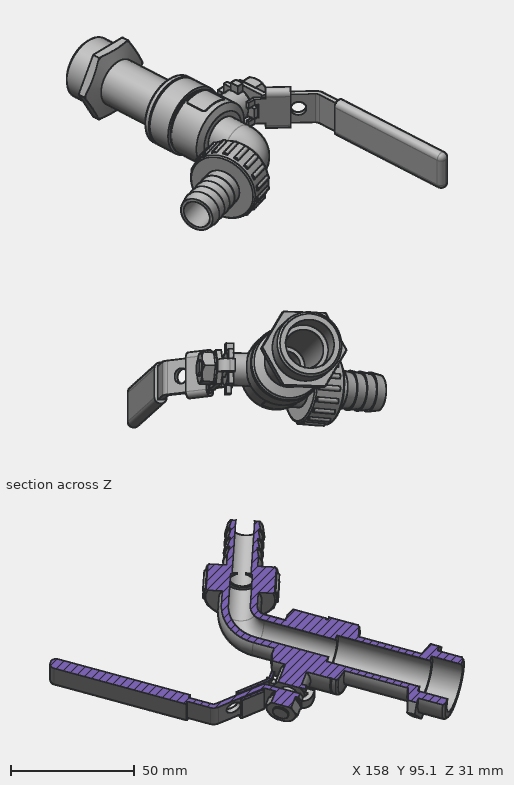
import cadquery as cq
import math


INLET_R = 13.3
INLET_CHAMFER = 1.0
HEX_START = 11.2
HEX_END = 14.5
HEX_ACROSS_FLATS = 30.0
HEX_CONE_R = 16.7
PIPE_R = 10.1
PIPE_START = 16.9
CAP_START = 43.8
CAP_RIM = 44.9
CAP_R = 15.0
CAP_CHAMFER = 0.8
CAP_END = 58.1
GROOVE_X = 47.5
GROOVE_WIDTH = 0.5
GROOVE_DEPTH = 0.24
JOINT_WIDTH = 0.8
JOINT_DEPTH = 0.5
HOUSING_R = 14.2
HOUSING_SHOULDER = 73.0
HOUSING_END = 74.4
HOUSING_END_R = 11.0

BADGE_HEIGHT = 0.3
BADGE_LENGTH = 10.3
BADGE_WIDTH = 12.5
BADGE_X = 65.1
BADGE_CORNER = 1.3

SPOUT_R = 8.7
ELBOW_START = 83.3
ELBOW_R = 11.4
ELBOW_ANGLE = 75.0

COUPLING_START = 6.5
COUPLING_END = 19.6
COUPLING_R = 14.7
COUPLING_BACK_CHAMFER = 0.6
COUPLING_FRONT_CHAMFER = 0.6
RIB_COUNT = 18
RIB_R = 1.1
RIB_TIP_R = 15.5
RIB_START = 7.9
RIB_END = 17.2
TAIL_END = 41.7
TAIL_R = 7.9
BARB_COUNT = 4
BARB_LENGTH = 4.5
BARB_RIDGE_R = 8.0
BARB_VALLEY_R = 7.3

INLET_BORE_R = 10.0
INLET_BORE_DEPTH = 12.6
PIPE_BORE_R = 8.0
PIPE_BORE_END = 52.1
FLOW_BORE_R = 6.3
LIP_BORE_R = 4.9
LIP_START = 15.2
LIP_END = 16.0
TAIL_BORE_R = 5.92

STEM_X = 62.9
NECK_R = 6.6
NECK_TOP = 22.6
STEM_R = 3.3
STEM_TOP = 33.8
WASHER_R = 6.3
STEM_NUT_CORNER_R = 7.0
STEM_NUT_BASE = 28.0
STEM_NUT_TOP = 33.0
STEM_NUT_CHAMFER = 0.8

STOP_TOP = 22.5
STOP_THICKNESS = 2.0
STOP_LEFT = 52.8
STOP_RIGHT = 73.0
STOP_ARM_WIDTH = 5.0
SHOULDER_START = 56.1
SHOULDER_REACH = 7.1
WING_START = 60.8
WING_END = 64.8
WING_REACH = 10.3
WING_DROP = 3.0

LEVER_THICKNESS = 2.2
LEVER_HALF_WIDTH = 7.0
LEVER_LOW_Y = 26.0
LEVER_HIGH_Y = 42.0
LEVER_START = 56.1
LEVER_FULL_WIDTH_X = 58.8
CRANK_X = 72.4
CRANK_INNER_RADIUS = 2.2
LEVER_HOLE_R = 3.2
LEVER_HOLE_DISTANCE = 14.4
TAB_OUTER_R = 4.5
GRIP_START = 99.4
GRIP_END = 158.0
GRIP_THICKNESS = 5.0
GRIP_WIDTH = 16.9
GRIP_END_FILLET = 2.4

SLIDE_START = 1.1
SLIDE_LENGTH = 10.1
SLIDE_THICKNESS = 5.0
SLIDE_WIDTH = 19.0
SLIDE_WALL = 1.3
FORK_X = 71.18
FORK_TIP_Y = 18.2
FORK_HALF_WIDTH = 6.0
FORK_SLOT_HALF_WIDTH = 3.2
FORK_SLOT_TOP = 23.0

elbow_turn = math.radians(ELBOW_ANGLE)
outlet_dir = cq.Vector(math.cos(elbow_turn), -math.sin(elbow_turn), 0)
elbow_end = cq.Vector(
    ELBOW_START + ELBOW_R * math.sin(elbow_turn), -ELBOW_R * (1 - math.cos(elbow_turn)), 0
)
outlet_plane = cq.Plane(origin=elbow_end, xDir=(0, 0, 1), normal=outlet_dir)

slope_plane = cq.Plane(
    origin=(CRANK_X, LEVER_LOW_Y, 0), xDir=(1, 1, 0), normal=(0, 0, 1)
)


def cylinder_x(radius, start, end):
    return cq.Workplane("YZ", origin=(start, 0, 0)).circle(radius).extrude(end - start)


def cylinder_y(radius, bottom, top):
    return cq.Workplane("XZ", origin=(STEM_X, bottom, 0)).circle(radius).extrude(bottom - top)


def cylinder_outlet(radius, start, end):
    return cq.Workplane(outlet_plane).workplane(offset=start).circle(radius).extrude(end - start)


def turned_x(outline):
    """Solid of revolution about X from (x, radius) points; the axis closes the outline."""
    points = [(outline[0][0], 0), *outline, (outline[-1][0], 0)]
    return cq.Workplane("XY").polyline(points).close().revolve(360, (0, 0), (1, 0))


def slab_z(workplane, half_width):
    """Extrude a closed XY outline equally to both sides of Z = 0."""
    return workplane.extrude(half_width, both=True)


def slab_y(outline, bottom, top):
    """Extrude a closed outline of (x, z) points between two Y levels."""
    points = [(x, -z) for x, z in outline]
    plane = cq.Plane(origin=(0, bottom, 0), xDir=(1, 0, 0), normal=(0, 1, 0))
    return cq.Workplane(plane).polyline(points).close().extrude(top - bottom)


def mirrored_outline(half_outline):
    """Close an outline of (x, z) points by mirroring it in z."""
    return half_outline + [(x, -z) for x, z in reversed(half_outline)]


def make_inlet_and_housing():
    spigot_and_pipe = turned_x([
        (0, INLET_R - INLET_CHAMFER),
        (INLET_CHAMFER, INLET_R),
        (HEX_START, INLET_R),
        (HEX_START, PIPE_R),
        (CAP_START, PIPE_R),
        (CAP_RIM, CAP_R - CAP_CHAMFER),
        (CAP_RIM + CAP_CHAMFER, CAP_R),
        (GROOVE_X, CAP_R),
        (GROOVE_X, CAP_R - GROOVE_DEPTH),
        (GROOVE_X + GROOVE_WIDTH, CAP_R - GROOVE_DEPTH),
        (GROOVE_X + GROOVE_WIDTH, CAP_R),
        (CAP_END, CAP_R),
        (CAP_END, HOUSING_R - JOINT_DEPTH),
        (CAP_END + JOINT_WIDTH, HOUSING_R - JOINT_DEPTH),
        (CAP_END + JOINT_WIDTH, HOUSING_R),
        (HOUSING_SHOULDER, HOUSING_R),
        (HOUSING_END, HOUSING_END_R),
    ])
    hex_corners = HEX_ACROSS_FLATS / math.cos(math.radians(30))
    hexagon = (
        cq.Workplane("YZ", origin=(HEX_START, 0, 0))
        .polygon(6, hex_corners)
        .extrude(PIPE_START - HEX_START)
    )
    cone = turned_x([
        (HEX_START, hex_corners / 2),
        (HEX_END, hex_corners / 2),
        (HEX_END, HEX_CONE_R),
        (PIPE_START, PIPE_R),
    ])
    return spigot_and_pipe.union(hexagon.intersect(cone))


def make_badges():
    top_z = HOUSING_R + BADGE_HEIGHT
    block = (
        cq.Workplane("XY", origin=(BADGE_X, 0, 0))
        .rect(BADGE_LENGTH, BADGE_WIDTH)
        .extrude(top_z, both=True)
        .edges("|Z")
        .fillet(BADGE_CORNER)
    )
    return block.intersect(cylinder_x(top_z, CAP_END, HOUSING_END))


def pipe_bend(radius):
    """Bend of the spout, as a round bar of the given radius."""
    section = cq.Workplane("YZ", origin=(ELBOW_START, 0, 0)).circle(radius)
    return section.revolve(ELBOW_ANGLE, (-ELBOW_R, 1.6), (-ELBOW_R, 0))


def make_spout():
    straight = cylinder_x(SPOUT_R, HOUSING_SHOULDER, ELBOW_START)
    outlet = cylinder_outlet(SPOUT_R, 0, COUPLING_END)
    return straight.union(pipe_bend(SPOUT_R)).union(outlet)


def make_coupling():
    ring = cylinder_outlet(COUPLING_R, COUPLING_START, COUPLING_END)
    back_edge = cq.selectors.DirectionMinMaxSelector(outlet_dir, False)
    front_edge = cq.selectors.DirectionMinMaxSelector(outlet_dir, True)
    ring = ring.faces(back_edge).edges().chamfer(COUPLING_BACK_CHAMFER)
    ring = ring.faces(front_edge).edges().chamfer(COUPLING_FRONT_CHAMFER)
    ribs = (
        cq.Workplane(outlet_plane)
        .workplane(offset=RIB_START)
        .polarArray(RIB_TIP_R - RIB_R, 0, 360, RIB_COUNT)
        .circle(RIB_R)
        .extrude(RIB_END - RIB_START)
    )
    return ring.union(ribs)


def make_hose_tail():
    first_barb = TAIL_END - BARB_COUNT * BARB_LENGTH
    outline = [(0, COUPLING_START), (TAIL_R, COUPLING_START), (TAIL_R, first_barb)]
    for i in range(BARB_COUNT):
        barb_start = first_barb + i * BARB_LENGTH
        outline.append((BARB_RIDGE_R, barb_start))
        outline.append((BARB_VALLEY_R, barb_start + BARB_LENGTH))
    outline.append((0, TAIL_END))
    profile_plane = cq.Plane(
        origin=elbow_end, xDir=outlet_plane.xDir, normal=outlet_plane.xDir.cross(outlet_dir)
    )
    return cq.Workplane(profile_plane).polyline(outline).close().revolve(360, (0, 0), (0, 1))


def make_flow_bore():
    bore = cylinder_x(INLET_BORE_R, 0, INLET_BORE_DEPTH)
    bore = bore.union(cylinder_x(PIPE_BORE_R, 0, PIPE_BORE_END))
    bore = bore.union(cylinder_x(FLOW_BORE_R, 0, ELBOW_START))
    bore = bore.union(pipe_bend(FLOW_BORE_R))
    bore = bore.union(cylinder_outlet(FLOW_BORE_R, 0, LIP_START))
    bore = bore.union(cylinder_outlet(LIP_BORE_R, 0, LIP_END))
    return bore.union(cylinder_outlet(TAIL_BORE_R, LIP_END, TAIL_END))


def make_stem():
    neck = cylinder_y(NECK_R, 0, NECK_TOP)
    stem = cylinder_y(STEM_R, 0, STEM_TOP)
    washer = cylinder_y(WASHER_R, LEVER_LOW_Y, STEM_NUT_BASE)
    nut = (
        cq.Workplane("XZ", origin=(STEM_X, STEM_NUT_BASE, 0))
        .polygon(6, 2 * STEM_NUT_CORNER_R)
        .extrude(STEM_NUT_BASE - STEM_NUT_TOP)
    )
    rounded = cylinder_y(STEM_NUT_CORNER_R, STEM_NUT_BASE, STEM_NUT_TOP)
    nut = nut.intersect(rounded.faces(">Y").edges().chamfer(STEM_NUT_CHAMFER))
    return neck.union(stem).union(washer).union(nut)


def make_stop_plate():
    arm = STOP_ARM_WIDTH / 2
    outline = mirrored_outline([
        (STOP_LEFT, arm),
        (SHOULDER_START, arm),
        (SHOULDER_START, SHOULDER_REACH),
        (WING_START, SHOULDER_REACH),
        (WING_START, WING_REACH),
        (WING_END, WING_REACH),
        (WING_END, arm),
        (STOP_RIGHT, arm),
    ])
    plate = slab_y(outline, STOP_TOP - STOP_THICKNESS, STOP_TOP)
    thick_wing = [(WING_START, 0), (WING_START, WING_REACH), (WING_END, WING_REACH), (WING_END, 0)]
    return plate.union(slab_y(thick_wing, STOP_TOP - WING_DROP, STOP_TOP))


def make_lever_tab():
    """Curved tab that bends from the lever end down onto the stop plate."""
    outer = TAB_OUTER_R
    inner = TAB_OUTER_R - LEVER_THICKNESS
    centre_x = STOP_LEFT + outer
    centre_y = LEVER_LOW_Y + LEVER_THICKNESS / 2 - outer
    diagonal = math.sqrt(0.5)
    outline = (
        cq.Workplane("XY")
        .moveTo(centre_x - outer, STOP_TOP)
        .lineTo(centre_x - outer, centre_y)
        .threePointArc(
            (centre_x - outer * diagonal, centre_y + outer * diagonal), (centre_x, centre_y + outer)
        )
        .lineTo(centre_x, centre_y + inner)
        .threePointArc(
            (centre_x - inner * diagonal, centre_y + inner * diagonal), (centre_x - inner, centre_y)
        )
        .lineTo(centre_x - inner, STOP_TOP)
        .close()
    )
    return slab_z(outline, STOP_ARM_WIDTH / 2)


def make_lever():
    half = LEVER_THICKNESS / 2
    bend_shift = half * math.tan(math.radians(22.5))
    crank_end_x = CRANK_X + LEVER_HIGH_Y - LEVER_LOW_Y
    strip = slab_z(
        cq.Workplane("XY")
        .polyline([
            (LEVER_START, LEVER_LOW_Y + half),
            (CRANK_X - bend_shift, LEVER_LOW_Y + half),
            (crank_end_x - bend_shift, LEVER_HIGH_Y + half),
            (GRIP_START, LEVER_HIGH_Y + half),
            (GRIP_START, LEVER_HIGH_Y - half),
            (crank_end_x + bend_shift, LEVER_HIGH_Y - half),
            (CRANK_X + bend_shift, LEVER_LOW_Y - half),
            (LEVER_START, LEVER_LOW_Y - half),
        ])
        .close(),
        LEVER_HALF_WIDTH,
    )
    inner_bend = cq.selectors.NearestToPointSelector(
        (crank_end_x + bend_shift, LEVER_HIGH_Y - half, 0)
    )
    outer_bend = cq.selectors.NearestToPointSelector(
        (crank_end_x - bend_shift, LEVER_HIGH_Y + half, 0)
    )
    strip = strip.edges("|Z").edges(inner_bend).fillet(CRANK_INNER_RADIUS)
    strip = strip.edges("|Z").edges(outer_bend).fillet(CRANK_INNER_RADIUS + LEVER_THICKNESS)
    plan = mirrored_outline([
        (LEVER_START, STOP_ARM_WIDTH / 2),
        (LEVER_FULL_WIDTH_X, LEVER_HALF_WIDTH),
        (GRIP_START, LEVER_HALF_WIDTH),
    ])
    strip = strip.intersect(slab_y(plan, LEVER_LOW_Y - half, LEVER_HIGH_Y + half))
    hole_plane = cq.Plane(
        origin=slope_plane.toWorldCoords((LEVER_HOLE_DISTANCE, 0, 0)),
        xDir=(0, 0, 1),
        normal=slope_plane.yDir,
    )
    hole = cq.Workplane(hole_plane).circle(LEVER_HOLE_R).extrude(LEVER_THICKNESS, both=True)
    return strip.cut(hole).union(make_lever_tab())


def make_grip():
    grip = (
        cq.Workplane("YZ", origin=(GRIP_START, LEVER_HIGH_Y, 0))
        .slot2D(GRIP_WIDTH, GRIP_THICKNESS, 90)
        .extrude(GRIP_END - GRIP_START)
    )
    return grip.faces(">X").edges().fillet(GRIP_END_FILLET)


def make_tap():
    tap = (
        make_inlet_and_housing()
        .union(make_badges())
        .union(make_spout())
        .union(make_coupling())
        .union(make_hose_tail())
        .union(make_stem())
        .cut(make_flow_bore())
    )
    return tap.union(make_stop_plate()).union(make_lever()).union(make_grip())


def make_slide():
    """Flattened tube that slides on the lever, with a fork reaching down past the stop plate."""
    tube_plane = cq.Plane(
        origin=slope_plane.toWorldCoords((SLIDE_START, 0, 0)),
        xDir=(0, 0, 1),
        normal=slope_plane.xDir,
    )
    tube = (
        cq.Workplane(tube_plane)
        .slot2D(SLIDE_WIDTH, SLIDE_THICKNESS)
        .slot2D(SLIDE_WIDTH - 2 * SLIDE_WALL, SLIDE_THICKNESS - 2 * SLIDE_WALL)
        .extrude(SLIDE_LENGTH)
    )
    outer_offset = SLIDE_THICKNESS / 2
    inner_offset = outer_offset - SLIDE_WALL
    upper_root = slope_plane.toWorldCoords((SLIDE_START, -inner_offset, 0))
    lower_root = slope_plane.toWorldCoords((SLIDE_START, -outer_offset, 0))
    left = FORK_X - SLIDE_WALL / 2
    right = FORK_X + SLIDE_WALL / 2
    fork_outline = (
        cq.Workplane("XY")
        .polyline([
            (upper_root.x, upper_root.y),
            (left, upper_root.y - (upper_root.x - left)),
            (left, FORK_TIP_Y),
            (right, FORK_TIP_Y),
            (right, lower_root.y - (lower_root.x - right)),
            (lower_root.x, lower_root.y),
        ])
        .close()
    )
    fork = slab_z(fork_outline, FORK_HALF_WIDTH)
    slot_height = FORK_SLOT_TOP - FORK_TIP_Y
    slot = cq.Workplane("XY", origin=(FORK_X, FORK_TIP_Y + slot_height / 2, 0)).box(
        4 * SLIDE_WALL, slot_height, 2 * FORK_SLOT_HALF_WIDTH
    )
    return tube.union(fork.cut(slot))


tap = make_tap()
slide = make_slide()
result = cq.Compound.makeCompound([tap.val(), slide.val()])